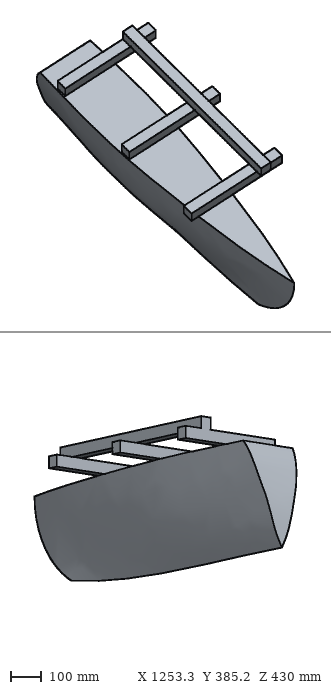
import cadquery as cq

length = 1250.0
hull_depth = 350.0
deck_stern_x = 70.0
deck_stern_half = 104.0
max_half = 109.4
forefoot_x = 1062.0
forefoot_z = -305.0

bar = 40.0
first_beam_x = 155.0
beam_starts = (first_beam_x, 485.0, 805.0)
beam_outer_y = 275.6
beam_length = 376.0
rail_length = 712.0
rail_y = 170.0

bow = (length, 0, 0)
forefoot = (forefoot_x, 0, forefoot_z)
heel = (0, 0, -hull_depth)
deck_corner = (deck_stern_x, deck_stern_half, 0)

deck_line = [deck_corner, (275, max_half, 0), (500, 105.0, 0), (725, 85.0, 0), (1038, 44.0, 0), bow]
stem_line = [bow, (1212, 0, -150), (1168.0, 0, -218.0), forefoot]
keel_line = [forefoot, (859.0, 0, -332.0), (500, 0, -349.0), heel]
transom_line = [heel, (2.0, 38.0, -262), (8.0, 56.0, -195.0), (20.0, 78.0, -128.0), (39.0, 92.0, -60.0), deck_corner]

side_bulge = [(312, 95.0, -125), (312, 74.0, -216.0), (312, 58.0, -262), (438, 32.0, -306.0)]


def spline(points):
    """Smooth edge through the given points."""
    return cq.Edge.makeSpline([cq.Vector(*point) for point in points])


def make_hull():
    """Solid hull: two mirrored sides closed by a flat deck and a curved transom."""
    deck_edge = spline(deck_line)
    stem_edge = spline(stem_line)
    keel_edge = spline(keel_line)
    transom_edge = spline(transom_line)
    bulge = [cq.Vector(*point) for point in side_bulge]
    port_side = cq.Face.makeNSidedSurface([deck_edge, stem_edge, keel_edge, transom_edge], bulge)
    starboard_side = port_side.mirror("XZ")

    port_corner = cq.Vector(*deck_corner)
    starboard_corner = cq.Vector(deck_stern_x, -deck_stern_half, 0)
    stern_edge = cq.Edge.makeLine(starboard_corner, port_corner)
    deck_outline = cq.Wire.assembleEdges([stern_edge, deck_edge, deck_edge.mirror("XZ")])
    deck = cq.Face.makeFromWires(deck_outline)
    transom_edges = [transom_edge, stern_edge, transom_edge.mirror("XZ")]
    centreline = [cq.Vector(x, 0, z) for x, _, z in transom_line[1:-1]]
    transom = cq.Face.makeNSidedSurface(transom_edges, centreline)

    shell = cq.Shell.makeShell([port_side, starboard_side, deck, transom])
    return cq.Workplane(cq.Solid.makeSolid(shell).fix())


def make_bar(x_size, y_size, corner):
    """Square-section bar with its lowest corner at the given point."""
    return cq.Workplane().box(x_size, y_size, bar, centered=False).translate(corner)


result = make_hull()
for beam_x in beam_starts:
    result = result.union(make_bar(bar, beam_length, (beam_x, beam_outer_y - beam_length, 0)))
result = result.union(make_bar(rail_length, bar, (first_beam_x, rail_y, bar)))